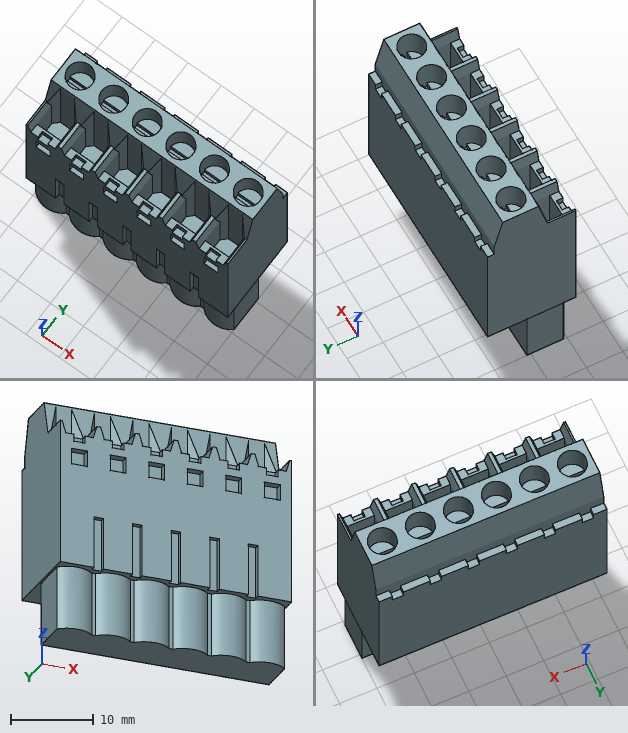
import cadquery as cq


pole_count = 6
block_width = 30.45
pitch = block_width / pole_count
pole_centers = [(i - (pole_count - 1) / 2) * pitch for i in range(pole_count)]
pole_boundaries = [x + pitch / 2 for x in pole_centers[:-1]]

block_depth = 12.2
total_height = 31.8
block_bottom = 8.3
shoulder_height = 27.25
ledge_height = 25.7
ledge_depth = 0.92
tower_front_foot = 3.9
tower_front_top = 5.12
tower_back_top = 10.1
tower_back_foot = block_depth - ledge_depth

plug_back = 6.65
lobe_root = 1.62
lobe_front = 0.73
lobe_width = 4.58

latch_width = pitch
latch_profile = [
    (8.3, 5.25),
    (7.92, 4.55),
    (7.92, 4.23),
    (8.17, 3.65),
    (9.32, 4.7),
    (9.5, 5.02),
]
latch_root_front = 8.3
latch_root_back = 10.2

mouth_width = 4.58
entry_width = 3.63
entry_back = tower_front_top - 0.1
entry_back_width = 2.1
entry_wall = 1.27
entry_depth = 6.35

notch_width = 1.5
notch_height = 0.92
notch_depth = ledge_depth
window_size = 2.07
window_bottom = 21.7
window_depth = 1.02
slot_width = 1.25
slot_top = 15.07
slot_depth = 0.67

screw_diameter = 3.63
screw_y = (tower_front_top + tower_back_top) / 2
screw_length = 3.82
screw_recess = 3.82
screw_top = total_height - screw_recess
screw_bottom = screw_top - screw_length
drive_slot_width = 0.65
drive_slot_depth = 0.8


def box(x_center, width, y_min, y_max, z_min, z_max):
    """Box centred on x_center, between the given Y and Z limits."""
    return cq.Workplane("XY").box(
        width, y_max - y_min, z_max - z_min, centered=(True, False, False)
    ).translate((x_center, y_min, z_min))


def side_extrusion(points, width):
    """Extrude a (Y, Z) outline along X, centred on X = 0."""
    return cq.Workplane("YZ").polyline(points).close().extrude(width / 2, both=True)


def housing_block():
    return side_extrusion(
        [
            (0, block_bottom),
            (0, shoulder_height),
            (tower_front_foot, shoulder_height),
            (tower_front_top, total_height),
            (tower_back_top, total_height),
            (tower_back_foot, shoulder_height),
            (tower_back_foot, ledge_height),
            (block_depth, ledge_height),
            (block_depth, block_bottom),
        ],
        block_width,
    )


def plug():
    """Block with one rounded lobe per pole along its front."""
    plug_half_width = pole_centers[-1] + lobe_width / 2
    outline = cq.Workplane("XY").moveTo(-plug_half_width, plug_back)
    for x in pole_centers:
        outline = outline.lineTo(x - lobe_width / 2, lobe_root)
        outline = outline.threePointArc((x, lobe_front), (x + lobe_width / 2, lobe_root))
    return outline.lineTo(plug_half_width, plug_back).close().extrude(block_bottom)


def latch():
    root_front = (latch_root_front, block_bottom)
    root_back = (latch_root_back, block_bottom)
    return side_extrusion([root_front, *latch_profile, root_back], latch_width)


def entry_prism(width, y_front, z_min, z_max):
    """Upright prism whose two back corners are bevelled at 45 degrees."""
    half = width / 2
    half_back = entry_back_width / 2
    bevel_start = entry_back - (half - half_back)
    return (
        cq.Workplane("XY", origin=(0, 0, z_min))
        .polyline(
            [
                (-half, y_front),
                (half, y_front),
                (half, bevel_start),
                (half_back, entry_back),
                (-half_back, entry_back),
                (-half, bevel_start),
            ]
        )
        .close()
        .extrude(z_max - z_min)
    )


def wire_entry():
    """Flared mouth open to the front and top, with a deep pocket below it."""
    flare = (
        cq.Workplane("XZ")
        .polyline(
            [
                (-entry_width / 2, ledge_height),
                (entry_width / 2, ledge_height),
                (mouth_width / 2, shoulder_height),
                (mouth_width / 2, total_height),
                (-mouth_width / 2, total_height),
                (-mouth_width / 2, shoulder_height),
            ]
        )
        .close()
        .extrude(-block_depth)
    )
    mouth = entry_prism(mouth_width, 0, ledge_height, total_height).intersect(flare)
    pocket = entry_prism(entry_width, entry_wall, ledge_height - entry_depth, ledge_height)
    return mouth.union(pocket)


def make_housing():
    body = housing_block().union(plug()).union(latch())
    entry = wire_entry()
    notch_bottom = ledge_height - notch_height
    for x in pole_centers:
        front_notch = box(x, notch_width, 0, notch_depth, notch_bottom, ledge_height)
        back_notch = front_notch.translate((0, block_depth - notch_depth, 0))
        window = box(x, window_size, 0, window_depth, window_bottom, window_bottom + window_size)
        screw_hole = (
            cq.Workplane("XY", origin=(x, screw_y, screw_bottom))
            .circle(screw_diameter / 2)
            .extrude(total_height - screw_bottom)
        )
        body = body.cut(entry.translate((x, 0, 0)))
        body = body.cut(front_notch).cut(back_notch).cut(window).cut(screw_hole)
    for x in pole_boundaries:
        body = body.cut(box(x, slot_width, 0, slot_depth, block_bottom, slot_top))
    return body


def make_screw(x):
    """Slotted clamping screw filling the bottom of its hole."""
    blank = (
        cq.Workplane("XY", origin=(x, screw_y, screw_bottom))
        .circle(screw_diameter / 2)
        .extrude(screw_length)
    )
    drive_slot = box(
        x,
        screw_diameter,
        screw_y - drive_slot_width / 2,
        screw_y + drive_slot_width / 2,
        screw_top - drive_slot_depth,
        screw_top,
    )
    return blank.cut(drive_slot)


housing = make_housing()
screws = [make_screw(x) for x in pole_centers]

result = cq.Compound.makeCompound([housing.val(), *[screw.val() for screw in screws]])